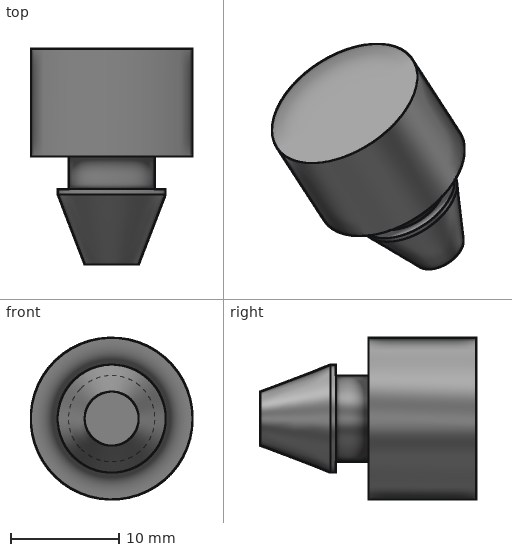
import cadquery as cq

total_length = 20.0
body_length = 10.0
neck_length = 3.0
rim_length = 0.5

body_diameter = 15.0
neck_diameter = 8.0
head_diameter = 10.0
tip_diameter = 5.0

shoulder_y = -body_length
head_y = shoulder_y - neck_length
cone_y = head_y - rim_length
tip_y = -total_length

half_profile = (
    cq.Workplane("XY")
    .moveTo(0, 0)
    .lineTo(body_diameter / 2, 0)
    .lineTo(body_diameter / 2, shoulder_y)
    .lineTo(neck_diameter / 2, shoulder_y)
    .lineTo(neck_diameter / 2, head_y)
    .lineTo(head_diameter / 2, head_y)
    .lineTo(head_diameter / 2, cone_y)
    .lineTo(tip_diameter / 2, tip_y)
    .lineTo(0, tip_y)
    .close()
)

result = half_profile.revolve(360, (0, 0, 0), (0, 1, 0))